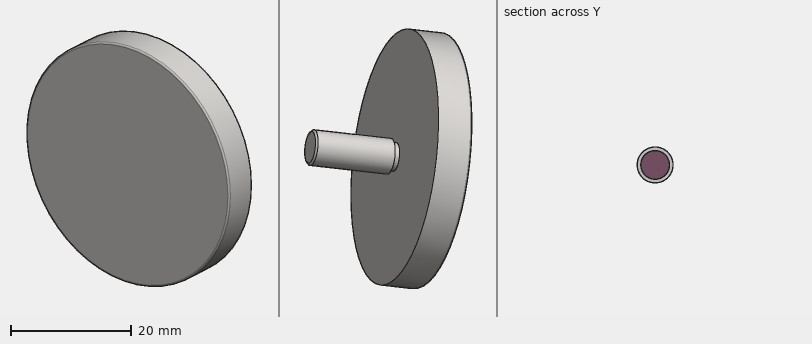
import cadquery as cq

disc_diameter = 42.95
disc_thickness = 6.0
disc_edge_radius = 0.3

overall_length = 21.0
stud_diameter = 6.0
stud_tip_chamfer = 0.35
neck_diameter = 4.8
neck_length = 1.0
stud_length = overall_length - disc_thickness


def cylinder_along_y(diameter, start, length):
    """Cylinder on the Y axis that runs from Y = start toward +Y."""
    plane = cq.Plane(origin=(0, start, 0), xDir=(1, 0, 0), normal=(0, 1, 0))
    return cq.Workplane(plane).circle(diameter / 2).extrude(length)


def make_disc():
    """Round disc with a rounded edge around its front face."""
    disc = cylinder_along_y(disc_diameter, 0, disc_thickness)
    return disc.faces("<Y").edges().fillet(disc_edge_radius)


def make_stud():
    """Stud with a chamfered tip and a thinner neck against the disc."""
    shank_start = disc_thickness + neck_length
    shank = cylinder_along_y(stud_diameter, shank_start, stud_length - neck_length)
    shank = shank.faces(">Y").edges().chamfer(stud_tip_chamfer)
    neck = cylinder_along_y(neck_diameter, disc_thickness, neck_length)
    return shank.union(neck)


disc = make_disc()
stud = make_stud()

result = cq.Compound.makeCompound([disc.val(), stud.val()])